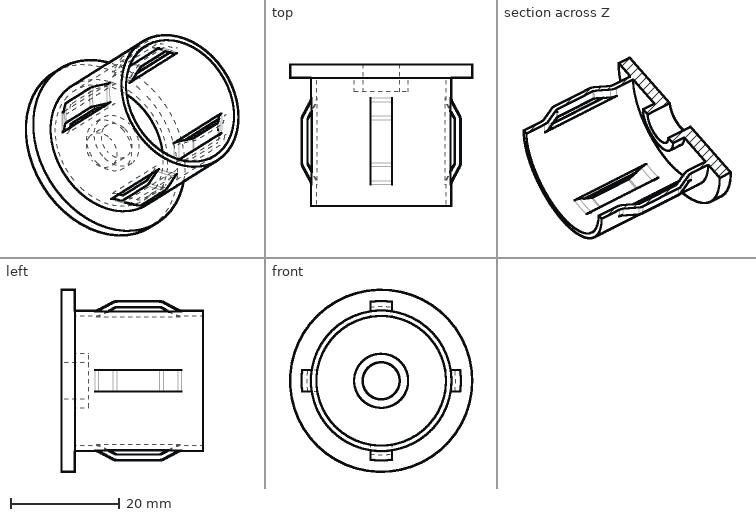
import cadquery as cq
import math

flange_diameter = 33.7
flange_thickness = 2.5
total_length = 26.2
sleeve_diameter = 25.98
wall = 1.0
bore_diameter = 6.8
boss_diameter = 10.0
boss_height = flange_thickness

tab_width = 4.0
tab_length = 16.0
tab_end_distance = 3.98
tab_rise = 1.75
bend_angle = math.radians(28)
bend_radius = 1.48

sleeve_radius = sleeve_diameter / 2
tab_center_y = -total_length + tab_end_distance + tab_length / 2
root_y = tab_length / 2
ramp_rise = tab_rise - 2 * bend_radius * (1 - math.cos(bend_angle))
ramp_run = ramp_rise / math.tan(bend_angle)
crest_y = root_y - 2 * bend_radius * math.sin(bend_angle) - ramp_run


def disc(diameter, start_y, end_y):
    """Solid cylinder on the Y axis between two stations."""
    length = end_y - start_y
    return cq.Workplane("XZ", origin=(0, end_y, 0)).circle(diameter / 2).extrude(length)


def bend_point(center_radius, center_y, radius, angle):
    """(radius, Y) point on a bend arc; the angle is measured from the outward radial direction."""
    return (center_radius + radius * math.cos(angle), center_y + radius * math.sin(angle))


def tab_profile():
    """Closed (radius, Y) section of a bent tab of constant thickness, centered on Y = 0."""
    root_center = sleeve_radius + bend_radius
    crest_center = sleeve_radius + tab_rise - bend_radius

    def half_face(depth):
        """Points from the +Y root to the crest, along the face at a depth below the outer face."""
        root = -(bend_radius + depth)
        crest = bend_radius - depth
        return [
            bend_point(root_center, root_y, root, 0),
            bend_point(root_center, root_y, root, bend_angle / 2),
            bend_point(root_center, root_y, root, bend_angle),
            bend_point(crest_center, crest_y, crest, bend_angle),
            bend_point(crest_center, crest_y, crest, bend_angle / 2),
            bend_point(crest_center, crest_y, crest, 0),
        ]

    def whole_face(depth):
        """Points of the whole face from the +Y root to the -Y root."""
        half = half_face(depth)
        return half + [(r, -y) for r, y in reversed(half)]

    def trace(sketch, points):
        """Follow one face: bend, ramp, bend, flat crest, bend, ramp, bend."""
        for bend in range(0, len(points), 3):
            start, middle, end = points[bend:bend + 3]
            if bend > 0:
                sketch = sketch.lineTo(*start)
            sketch = sketch.threePointArc(middle, end)
        return sketch

    outer = whole_face(0)
    inner = whole_face(wall)[::-1]
    sketch = trace(cq.Workplane("XY", origin=(0, tab_center_y, 0)).moveTo(*outer[0]), outer)
    sketch = trace(sketch.lineTo(*inner[0]), inner)
    return sketch.close()


def tab_cross():
    """Two crossing bars that mark out the four tab positions around the sleeve."""
    span = flange_diameter
    bars = cq.Workplane("XY").box(span, tab_length, tab_width)
    bars = bars.union(cq.Workplane("XY").box(tab_width, tab_length, span))
    return bars.translate((0, tab_center_y, 0))


sleeve = disc(sleeve_diameter, -total_length, -flange_thickness)
sleeve = sleeve.cut(disc(sleeve_diameter - 2 * wall, -total_length, -flange_thickness))
sleeve = sleeve.cut(tab_cross())

tabs = tab_profile().revolve(360, (0, 0, 0), (0, 1, 0)).intersect(tab_cross())

flange = disc(flange_diameter, -flange_thickness, 0)
boss = disc(boss_diameter, -flange_thickness - boss_height, -flange_thickness)
bore = disc(bore_diameter, -total_length, 0)

result = flange.union(boss).cut(bore).union(sleeve).union(tabs)